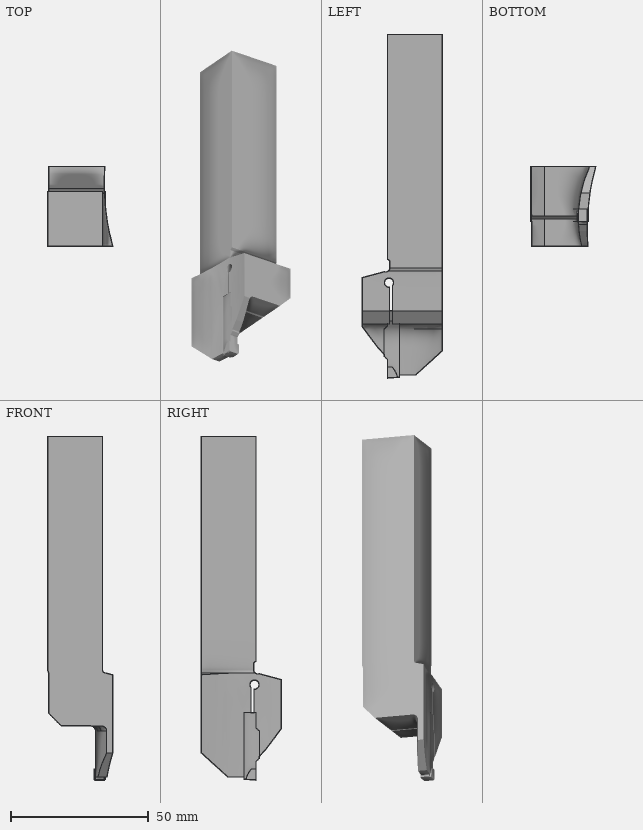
import cadquery as cq
import math


total_height = 125
shank = 20
neck_y = 19.1
neck_top = 43.4
neck_step = 0.8
neck_bottom = 40.1
shoulder_z = 39.0
shoulder_run = 1.2
back_shoulder_y = 21.1
back_shoulder_z = 38.8
shoulder_slope = math.tan(math.radians(15))

head_x = 23.8
head_y = 29.1
head_inset = 0.4
head_chamfer = 4.6
head_bottom = 19.8

blade_bottom = 1.1
blade_front_z = 10
blade_front_y = 9.8
back_corner_z = 18.8
back_bend_y = 23.6
back_bend_z = 11.4
back_end_z = 8.6
outer_vertex_x = 20.6
outer_vertex_y = 22.5
inner_vertex_x = 17.4
inner_vertex_y = 18.8
inner_front_x = 21.5
root_fillet = 1.9

slot_front = 18.1
slot_width = 1.0
hole_radius = 1.6
hole_y = 19.4
hole_z = 34.8

insert_front = 15.5
insert_back = 21.1
insert_narrow_back = 20
insert_left = inner_vertex_x
insert_right = 20.5
insert_top = 24.6
insert_slope_z = 20.9
insert_slope_depth = 1.2
insert_shoulder_z = 17.9
insert_step_z = 8.0
insert_step = insert_back - insert_narrow_back
insert_rise = 0.4
tip_height = 4.1
tip_flat_y = 18.2
tip_mid_y = 17.2
tip_mid_z = 2.8
tip_front = 16.2
tip_overhang = 0.5
tip_corner = 0.4


def curved_cylinder(vertex_x, vertex_y, front_x, height):
    """Upright cylinder with its leftmost line at the vertex, crossing the front plane y=0 at front_x."""
    rise = front_x - vertex_x
    radius = (vertex_y**2 + rise**2) / (2 * rise)
    return cq.Workplane("XY").center(vertex_x + radius, vertex_y).circle(radius).extrude(height)


def side_shape():
    """Outline in YZ of the shank, head and blade, extruded across the full width."""
    shoulder_end_z = back_shoulder_z - (head_y - back_shoulder_y) * shoulder_slope
    return (
        cq.Workplane("YZ")
        .moveTo(0, total_height)
        .lineTo(shank, total_height)
        .lineTo(shank, neck_top)
        .lineTo(neck_y, neck_top - neck_step)
        .lineTo(neck_y, neck_bottom)
        .tangentArcPoint((back_shoulder_y, back_shoulder_z), relative=False)
        .lineTo(head_y, shoulder_end_z)
        .lineTo(head_y, back_corner_z)
        .lineTo(back_bend_y, back_bend_z)
        .lineTo(insert_back, back_end_z)
        .lineTo(insert_front, back_end_z)
        .lineTo(insert_front, blade_bottom)
        .lineTo(blade_front_y, blade_bottom)
        .lineTo(0, blade_front_z)
        .close()
        .extrude(head_x)
    )


def front_shape():
    """Outline in XZ of the shank and head, extruded over the full depth."""
    shoulder_x = shank + shoulder_run
    shoulder_end_z = shoulder_z - (head_x - shoulder_x) * shoulder_slope
    return (
        cq.Workplane("XZ")
        .moveTo(0, total_height)
        .lineTo(shank, total_height)
        .lineTo(shank, neck_bottom)
        .tangentArcPoint((shoulder_x, shoulder_z), relative=False)
        .lineTo(head_x, shoulder_end_z)
        .lineTo(head_x, 0)
        .lineTo(head_inset + head_chamfer, 0)
        .lineTo(head_inset + head_chamfer, head_bottom)
        .lineTo(head_inset, head_bottom + head_chamfer)
        .lineTo(head_inset, shoulder_z)
        .lineTo(0, neck_bottom)
        .close()
        .extrude(-head_y)
    )


def blade_clearance():
    """Space left of the blade, with a rounded edge that leaves a fillet at the blade root."""
    space = cq.Workplane("XY").box(head_x, head_y, head_bottom, centered=False)
    blade_side = curved_cylinder(inner_vertex_x, inner_vertex_y, inner_front_x, head_bottom)
    space = space.cut(blade_side)
    edge = space.faces(">Z").edges(cq.selectors.TypeSelector("CIRCLE"))
    return edge.fillet(root_fillet)


def clamping_slot():
    slot = cq.Workplane("XY").box(head_x, slot_width, hole_z - head_bottom, centered=False)
    slot = slot.translate((0, slot_front, head_bottom))
    hole = cq.Workplane("YZ").center(hole_y, hole_z).circle(hole_radius).extrude(head_x)
    return slot.union(hole)


def insert_bar(left, right, top):
    """Insert outline in YZ, extruded between two X positions."""
    return (
        cq.Workplane("YZ", origin=(left, 0, 0))
        .moveTo(insert_front, insert_rise)
        .lineTo(insert_narrow_back, 0)
        .lineTo(insert_narrow_back, insert_step_z - insert_step)
        .lineTo(insert_back, insert_step_z)
        .lineTo(insert_back, insert_shoulder_z)
        .lineTo(insert_narrow_back, insert_shoulder_z + insert_step)
        .lineTo(insert_narrow_back, top)
        .lineTo(insert_front, top)
        .close()
        .extrude(right - left)
    )


def insert_stem(right):
    """Insert bar whose left face leans inward at the top."""
    lean = (
        cq.Workplane("XZ")
        .moveTo(insert_left, insert_slope_z)
        .lineTo(insert_left + insert_slope_depth, insert_top)
        .lineTo(insert_left, insert_top)
        .close()
        .extrude(-head_y)
    )
    return insert_bar(insert_left, right, insert_top).cut(lean)


def insert_tip():
    """Wider cutting tip with bevelled bottom corners and a rounded upper front."""
    left = insert_left - tip_overhang
    right = insert_right + tip_overhang
    side = (
        cq.Workplane("YZ", origin=(left, 0, 0))
        .moveTo(insert_narrow_back, 0)
        .lineTo(insert_narrow_back, tip_height)
        .lineTo(tip_flat_y, tip_height)
        .threePointArc((tip_mid_y, tip_mid_z), (tip_front, insert_rise))
        .close()
        .extrude(right - left)
    )
    front = (
        cq.Workplane("XZ")
        .moveTo(left + tip_corner, 0)
        .lineTo(left, tip_corner)
        .lineTo(left, tip_height)
        .lineTo(right, tip_height)
        .lineTo(right, tip_corner)
        .lineTo(right - tip_corner, 0)
        .close()
        .extrude(-head_y)
    )
    return side.intersect(front)


def make_holder():
    body = side_shape().intersect(front_shape())
    outer_hollow = curved_cylinder(outer_vertex_x, outer_vertex_y, head_x, neck_bottom)
    body = body.cut(outer_hollow).cut(blade_clearance()).cut(clamping_slot())
    open_seat = insert_bar(0, head_x, head_bottom)
    return body.cut(open_seat).cut(insert_stem(head_x))


def make_insert():
    return insert_stem(insert_right).union(insert_tip())


holder = make_holder()
insert = make_insert()
result = cq.Compound.makeCompound([holder.val(), insert.val()])